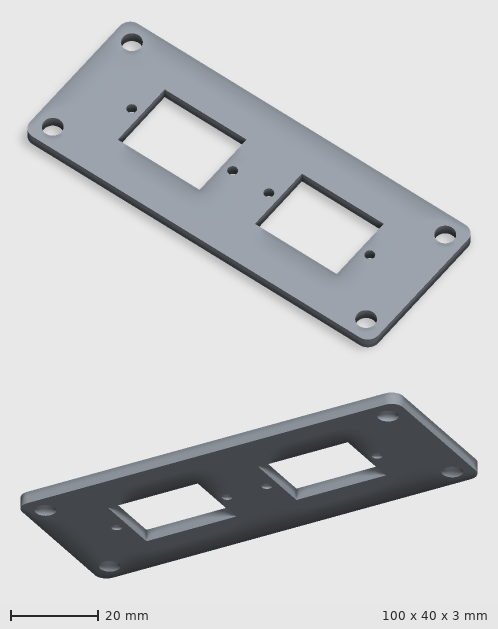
import cadquery as cq

length = 100.0
width = 40.0
thickness = 3.0
corner_radius = 3.0

mount_diameter = 5.0
mount_inset = 5.0

opening_length = 23.5
opening_width = 17.8
opening_centers = (-19.2, 20.2)
screw_diameter = 2.5
screw_spacing = 29.0

plate = (
    cq.Workplane("XY")
    .box(length, width, thickness)
    .edges("|Z")
    .fillet(corner_radius)
)

plate = (
    plate.faces(">Z")
    .workplane(origin=(0, 0, 0))
    .rect(length - 2 * mount_inset, width - 2 * mount_inset, forConstruction=True)
    .vertices()
    .hole(mount_diameter)
)


def cut_opening(body, center_x):
    """Cut one rectangular opening and its two screw holes through the plate."""
    opening = cq.Workplane("XY").center(center_x, 0).box(opening_length, opening_width, 2 * thickness)
    screw_holes = (
        cq.Workplane("XY", origin=(center_x, 0, -thickness))
        .pushPoints([(-screw_spacing / 2, 0), (screw_spacing / 2, 0)])
        .circle(screw_diameter / 2)
        .extrude(2 * thickness)
    )
    return body.cut(opening).cut(screw_holes)


for center_x in opening_centers:
    plate = cut_opening(plate, center_x)

result = plate